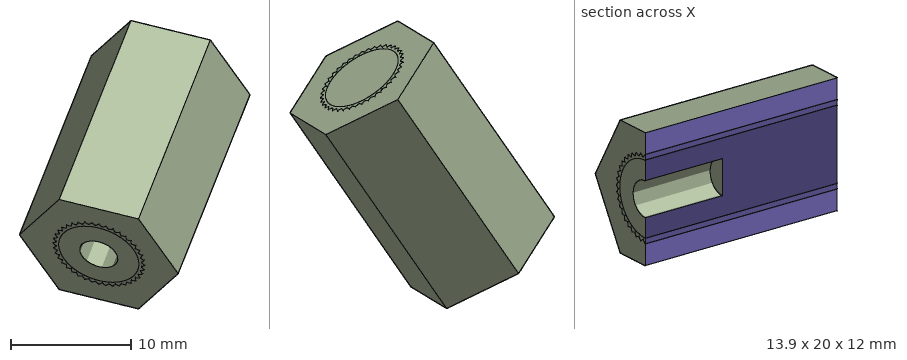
import cadquery as cq
import math

length = 20.0
across_flats = 12.0
knurl_tip_diameter = 8.0
tooth_count = 40
tooth_angle = 90.0
core_diameter = 7.0
bore_diameter = 3.3
bore_depth = 8.0

across_corners = across_flats / math.cos(math.radians(30))

tip_radius = knurl_tip_diameter / 2
half_pitch = math.pi / tooth_count
half_tooth_angle = math.radians(tooth_angle / 2)
root_radius = tip_radius * math.sin(half_tooth_angle) / math.sin(half_tooth_angle + half_pitch)


def front_plane():
    """Sketch plane on the -Y end, with X to the right and Z up; its normal is -Y."""
    return cq.Workplane("XZ", origin=(0, -length / 2, 0))


def polar_point(radius, angle):
    return (radius * math.cos(angle), radius * math.sin(angle))


def knurled_bar():
    """Full-length bar with pointed straight teeth, its tips on the X and Z axes."""
    outline = []
    for tooth in range(tooth_count):
        tip_direction = 2 * half_pitch * tooth
        outline.append(polar_point(tip_radius, tip_direction))
        outline.append(polar_point(root_radius, tip_direction + half_pitch))
    return front_plane().polyline(outline).close().extrude(-length)


def core_bar():
    """Full-length plain round bar that fills the knurled sleeve."""
    return front_plane().circle(core_diameter / 2).extrude(-length)


def make_housing():
    """Hexagonal spacer, corners on the X axis, with a toothed through hole."""
    hexagon = front_plane().polygon(6, across_corners).extrude(-length)
    return hexagon.cut(knurled_bar())


def make_knurled_sleeve():
    """Thin sleeve, toothed outside and round inside."""
    return knurled_bar().cut(core_bar())


def make_core():
    """Round core with a blind bore from the -Y end."""
    bore = front_plane().circle(bore_diameter / 2).extrude(-bore_depth)
    return core_bar().cut(bore)


housing = make_housing()
knurled_sleeve = make_knurled_sleeve()
core = make_core()

result = cq.Compound.makeCompound([housing.val(), knurled_sleeve.val(), core.val()])